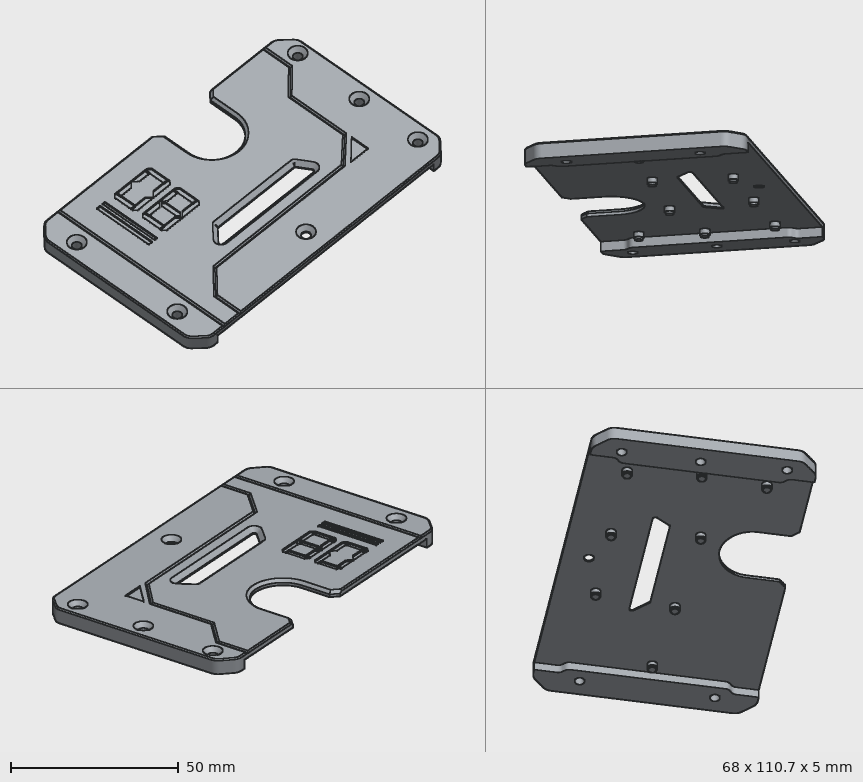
import cadquery as cq

width = 68.0
length = 110.7
height = 5.0
plate_thickness = 2.0
plate_underside = height - plate_thickness
corner_cut = 5.0
corner_radius = 3.5
rim_chamfer = 0.4

wall_thin = 8.2
wall_thick = 10.1
wall_ramp_start = 7.7
wall_ramp_radius = 2.0

screw_diameter = 3.0
sink_diameter = 6.0
sink_angle = 90
screw_places = [(9.0, 106.3), (35.0, 105.3), (58.9, 105.3), (59.9, 55.4), (12.8, 5.6), (53.8, 5.6)]

notch_y = 65.3
notch_radius = 10.0
notch_depth = 22.1
notch_flare = 2.2
notch_chamfer = 1.0

slot_left = 37.0
slot_right = 45.7
slot_top_left_y = 74.2
slot_top_right_y = 79.6
slot_bottom_left_y = 39.1
slot_bottom_right_y = 30.3
slot_tip_radius = 2.3
slot_side_radius = 1.5
slot_chamfer = 1.5

groove_width = 1.1
lower_groove_y = 11.2
border_groove = [
    (0, 100.8),
    (11.1, 100.8),
    (19.2, 92.0),
    (41.4, 92.0),
    (49.7, 82.5),
    (49.7, 26.5),
    (57.8, 18.2),
    (width, 18.2),
]

engraving_depth = 0.5
engraving_floor = height - engraving_depth
triangle = [(43.7, 92.5), (50.5, 92.5), (50.5, 85.0)]
digit_bottom = 26.5
digit_height = 16.2
segment_width = 1.9
segment_gap = 0.17
digit_corner_cut = 1.0
first_digit_left = 7.9
first_digit_width = 9.4
second_digit_left = 19.4
second_digit_width = 9.7
bars_right = second_digit_left + second_digit_width
bar_y_spans = [(19.6, 21.1), (22.1, 23.2)]

pin_diameter = 3.1
pin_tip_diameter = 2.4
pin_shoulder_length = 1.5
pin_tip_length = 0.7
pin_places = [
    (13.3, 95.9),
    (33.2, 97.2),
    (55.4, 94.5),
    (28.8, 70.7),
    (55.4, 67.5),
    (55.4, 41.4),
    (31.0, 39.4),
    (33.2, 13.4),
]


def prism(points, bottom, top):
    return cq.Workplane("XY", origin=(0, 0, bottom)).polyline(points).close().extrude(top - bottom)


def block(x0, x1, y0, y1, bottom, top):
    return prism([(x0, y0), (x1, y0), (x1, y1), (x0, y1)], bottom, top)


def outer_body():
    body = cq.Workplane("XY").rect(width, length, centered=False).extrude(height)
    body = body.edges("|Z").chamfer(corner_cut)
    body = body.edges("|Z").fillet(corner_radius)
    return body.faces(">Z").chamfer(rim_chamfer)


def underside_recess():
    """Space between the end walls, narrowed where the walls are thick."""
    step = wall_thick - wall_thin
    ramp_end = wall_ramp_start + step
    lower = [
        (0, wall_thin),
        (wall_ramp_start, wall_thin),
        (ramp_end, wall_thick),
        (width - ramp_end, wall_thick),
        (width - wall_ramp_start, wall_thin),
        (width, wall_thin),
    ]
    upper = [(x, length - y) for x, y in reversed(lower)]
    recess = prism(lower + upper, 0, plate_underside)
    ramp_edges = recess.edges("|Z").edges("not(<X or >X)")
    return ramp_edges.fillet(wall_ramp_radius)


def screw_holes(body):
    top = body.faces(">Z").workplane(origin=(0, 0, height))
    return top.pushPoints(screw_places).cskHole(screw_diameter, sink_diameter, sink_angle)


def chamfered_cut(outline, chamfer):
    """Through cut along a closed outline, widened at 45 degrees toward the top face."""
    straight = cq.Workplane("XY").add(outline).toPending().extrude(height)
    flared = (
        cq.Workplane("XY")
        .add(outline.translate((0, 0, height - chamfer)))
        .toPending()
        .extrude(chamfer, taper=-45)
    )
    return straight.union(flared)


def thumb_notch():
    arc_x = notch_depth - notch_radius
    low = notch_y - notch_radius
    high = notch_y + notch_radius
    mouth_x = -notch_flare
    mouth_reach = notch_flare - mouth_x
    outline = (
        cq.Workplane("XY")
        .moveTo(mouth_x, low - mouth_reach)
        .lineTo(notch_flare, low)
        .lineTo(arc_x, low)
        .threePointArc((notch_depth, notch_y), (arc_x, high))
        .lineTo(notch_flare, high)
        .lineTo(mouth_x, high + mouth_reach)
        .close()
    )
    return chamfered_cut(outline.wire().val(), notch_chamfer)


def long_slot():
    corners = [
        (slot_left, slot_bottom_left_y),
        (slot_right, slot_bottom_right_y),
        (slot_right, slot_top_right_y),
        (slot_left, slot_top_left_y),
    ]
    opening = prism(corners, 0, height)
    opening = opening.edges("|Z and >X").fillet(slot_tip_radius)
    opening = opening.edges("|Z and <X").fillet(slot_side_radius)
    rim = opening.faces(">Z").wires().val()
    sloped = cq.Workplane("XY").add(rim).toPending().extrude(-slot_chamfer, taper=45)
    through = cq.Workplane("XY").add(sloped.faces("<Z").wires().val()).toPending().extrude(-height)
    return sloped.union(through)


def v_groove(path):
    """Groove with 45 degree sides along a path whose first stretch runs in +X from x = 0."""
    half = groove_width / 2
    start_y = path[0][1]
    spine = cq.Workplane("XY", origin=(0, 0, height)).polyline(path)
    profile = [(start_y - half, height), (start_y, height - half), (start_y + half, height)]
    return cq.Workplane("YZ").polyline(profile).close().sweep(spine, transition="right")


def corner_ridges(left, right, top):
    """Thin walls at a digit's four corners that part the end segments from the side segments."""
    inner_left = left + segment_width
    inner_right = right - segment_width
    inner_bottom = digit_bottom + segment_width
    inner_top = top - segment_width
    spans = [
        (left, inner_left, inner_top, inner_top + segment_gap),
        (left, inner_left, inner_bottom - segment_gap, inner_bottom),
        (inner_right, inner_right + segment_gap, inner_top, top),
        (inner_right, inner_right + segment_gap, digit_bottom, inner_bottom),
    ]
    ridges = cq.Workplane("XY")
    for x0, x1, y0, y1 in spans:
        ridges = ridges.add(block(x0, x1, y0, y1, engraving_floor, height))
    return ridges.combine()


def digit(left, digit_width, has_middle):
    """Engraved seven-segment digit, optionally with its middle segment."""
    right = left + digit_width
    top = digit_bottom + digit_height
    middle = digit_bottom + digit_height / 2
    inner_left = left + segment_width
    inner_right = right - segment_width
    outer = block(left, right, digit_bottom, top, engraving_floor, height)
    outer = outer.edges("|Z").chamfer(digit_corner_cut)

    point_reach = segment_width - segment_gap
    island = prism(
        [
            (inner_left, digit_bottom + segment_width),
            (inner_right, digit_bottom + segment_width),
            (inner_right, middle - point_reach),
            (inner_right + point_reach, middle),
            (inner_right, middle + point_reach),
            (inner_right, top - segment_width),
            (inner_left, top - segment_width),
            (inner_left, middle + point_reach),
            (inner_left - point_reach, middle),
            (inner_left, middle - point_reach),
        ],
        engraving_floor,
        height,
    )
    ring = outer.cut(island).cut(corner_ridges(left, right, top))
    if not has_middle:
        return ring

    half = segment_width / 2
    tip_reach = half - segment_gap
    bar = prism(
        [
            (inner_left - tip_reach, middle),
            (inner_left + segment_gap, middle - half),
            (inner_right - segment_gap, middle - half),
            (inner_right + tip_reach, middle),
            (inner_right - segment_gap, middle + half),
            (inner_left + segment_gap, middle + half),
        ],
        engraving_floor,
        height,
    )
    return ring.union(bar)


def engraving():
    marks = prism(triangle, engraving_floor, height)
    marks = marks.union(digit(first_digit_left, first_digit_width, False))
    marks = marks.union(digit(second_digit_left, second_digit_width, True))
    for low, high in bar_y_spans:
        marks = marks.union(block(first_digit_left, bars_right, low, high, engraving_floor, height))
    return marks


def locating_pins():
    """Pins hanging from the plate, each ending in a thinner tip."""
    root = cq.Workplane("XY", origin=(0, 0, plate_underside)).pushPoints(pin_places)
    shoulders = root.circle(pin_diameter / 2).extrude(-pin_shoulder_length)
    tips = root.circle(pin_tip_diameter / 2).extrude(-pin_shoulder_length - pin_tip_length)
    return shoulders.union(tips)


cover = outer_body().cut(underside_recess())
cover = cover.cut(thumb_notch()).cut(long_slot())
cover = cover.cut(v_groove(border_groove))
cover = cover.cut(v_groove([(0, lower_groove_y), (width, lower_groove_y)]))
cover = cover.cut(engraving())
cover = screw_holes(cover)
result = cover.union(locating_pins())